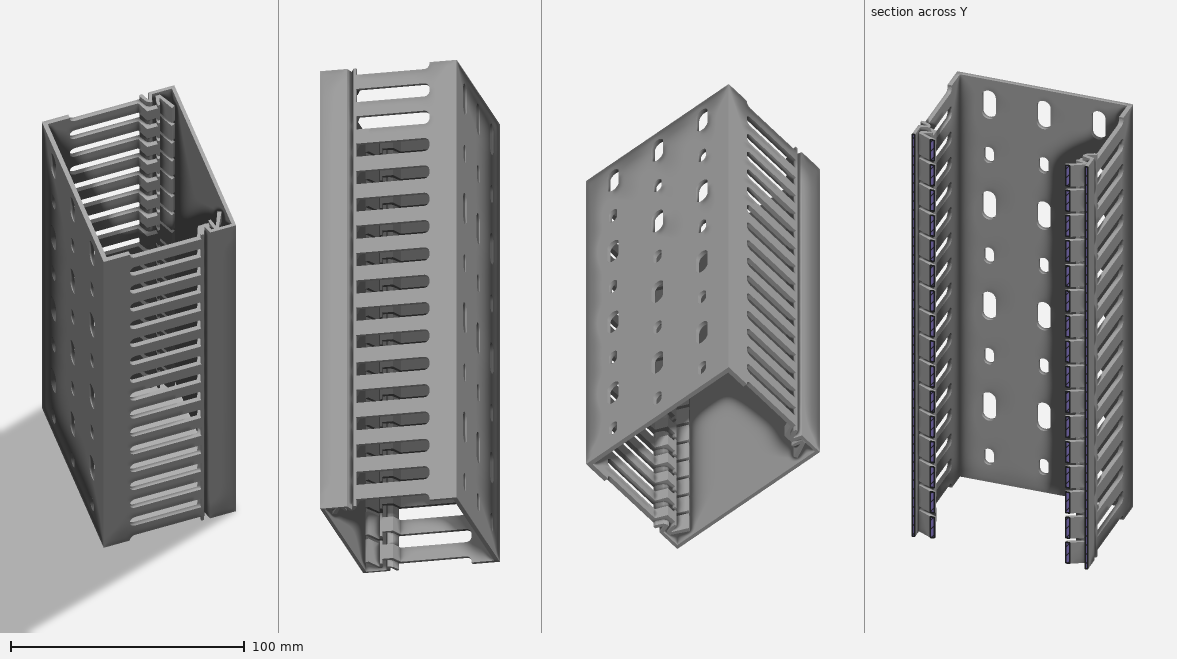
import cadquery as cq

LENGTH = 200.0
WIDTH = 80.2
DEPTH = 60.0
HALF_WIDTH = WIDTH / 2

BASE_WALL = 2.0
COVER_PLATE = 1.5
COVER_SIDE = 1.5

FOLD_IN = 5.3
LIP_OUTER = (0, 44.2)
LIP_TOE = (1.2, 44.2)
LIP_BEND = (4.5, 45.8)
FOLD_LOW = (FOLD_IN, 47.2)
SEAM = [LIP_OUTER, LIP_TOE, LIP_BEND, FOLD_LOW]

SKIRT_LOW = (0, 48.2)
GROOVE_ROOT = (3.8, 47.0)
LIP_TOP = (0, 45.5)
FOLD_HIGH = (FOLD_IN, 48.2)
SKIRT_INNER = (COVER_SIDE, 49.5)

LATCH_UNDER_Y = 50.0
LATCH_UNDER = (FOLD_IN, LATCH_UNDER_Y)
NOSE_IN = 2.0
NOSE_LOW = (NOSE_IN, 50.8)
NOSE_HIGH = (NOSE_IN, 52.8)
ARM_TIP_HIGH = (9.8, 56.8)
ARM_TIP_LOW = (10.5, 55.2)
ARM_CROOK = (3.5, 52.0)
UPRIGHT_INNER = FOLD_IN + BASE_WALL
UPRIGHT_HIGH = (UPRIGHT_INNER, 51.0)
UPRIGHT_LOW = (UPRIGHT_INNER, 45.2)
SHOULDER = (BASE_WALL, 43.0)

SLOT_COUNT = 16
SLOT_PITCH = LENGTH / SLOT_COUNT
SLOT_WIDTH = 6.0
SLOT_NECK_WIDTH = 2.0
SLOT_FLOOR_Y = 12.0
SLOT_CORNER_RADIUS = 2.5

MOUNT_COLUMNS = 3
MOUNT_COLUMN_PITCH = 25.0
MOUNT_ROWS = 4
MOUNT_ROW_PITCH = LENGTH / MOUNT_ROWS
SMALL_FIRST_Z = MOUNT_ROW_PITCH / 4
LARGE_FIRST_Z = SMALL_FIRST_Z + MOUNT_ROW_PITCH / 2
LARGE_SLOT_LENGTH = 14.0
LARGE_SLOT_WIDTH = 6.5
SMALL_SLOT_LENGTH = 8.0
SMALL_SLOT_WIDTH = 4.5


def extrude_symmetric(left_half):
    """Extrude the profile made of the given left half and its mirror image."""
    left = [(inset - HALF_WIDTH, y) for inset, y in left_half]
    right = [(-x, y) for x, y in reversed(left)]
    return cq.Workplane("XY").polyline(left + right).close().extrude(LENGTH)


def make_cover():
    """Flat lid whose sides fold in and out again to grip the latches."""
    return extrude_symmetric([
        (0, DEPTH),
        SKIRT_LOW,
        GROOVE_ROOT,
        LIP_TOP,
        *SEAM,
        FOLD_HIGH,
        SKIRT_INNER,
        (COVER_SIDE, DEPTH - COVER_PLATE),
    ])


def make_trough():
    """U-shaped channel with a folded latch along the top of each wall."""
    return extrude_symmetric([
        (0, 0),
        *SEAM,
        LATCH_UNDER,
        NOSE_LOW,
        NOSE_HIGH,
        ARM_TIP_HIGH,
        ARM_TIP_LOW,
        ARM_CROOK,
        UPRIGHT_HIGH,
        UPRIGHT_LOW,
        SHOULDER,
        (BASE_WALL, BASE_WALL),
    ])


def slot_box(width, top_y):
    """Box across the whole duct, centered on Z = 0, from the slot floor up to top_y."""
    return (
        cq.Workplane("XY")
        .box(WIDTH, top_y - SLOT_FLOOR_Y, width, centered=(True, False, True))
        .translate((0, SLOT_FLOOR_Y, 0))
    )


def wiring_slots():
    """Cutters for both walls; the first and last leave half a slot at the duct's ends."""
    slot = slot_box(SLOT_WIDTH, LATCH_UNDER_Y).edges("|X and <Y").fillet(SLOT_CORNER_RADIUS)
    cutter = slot.union(slot_box(SLOT_NECK_WIDTH, DEPTH))
    return [cutter.translate((0, 0, i * SLOT_PITCH)) for i in range(SLOT_COUNT + 1)]


def mounting_slots(length, width, first_z):
    """Grid of round-ended cutters through the floor, long side along Z."""
    first_x = -(MOUNT_COLUMNS - 1) / 2 * MOUNT_COLUMN_PITCH
    centers = [
        (first_x + column * MOUNT_COLUMN_PITCH, first_z + row * MOUNT_ROW_PITCH)
        for column in range(MOUNT_COLUMNS)
        for row in range(MOUNT_ROWS)
    ]
    return cq.Workplane("XZ").pushPoints(centers).slot2D(length, width, 90).extrude(-BASE_WALL)


def make_base():
    """Trough with its wiring slots and mounting slots."""
    trough = make_trough()
    for cutter in wiring_slots():
        trough = trough.cut(cutter)
    trough = trough.cut(mounting_slots(LARGE_SLOT_LENGTH, LARGE_SLOT_WIDTH, LARGE_FIRST_Z))
    return trough.cut(mounting_slots(SMALL_SLOT_LENGTH, SMALL_SLOT_WIDTH, SMALL_FIRST_Z))


base = make_base().solids()
cover = make_cover()

result = cq.Compound.makeCompound([base.val(), cover.val()])